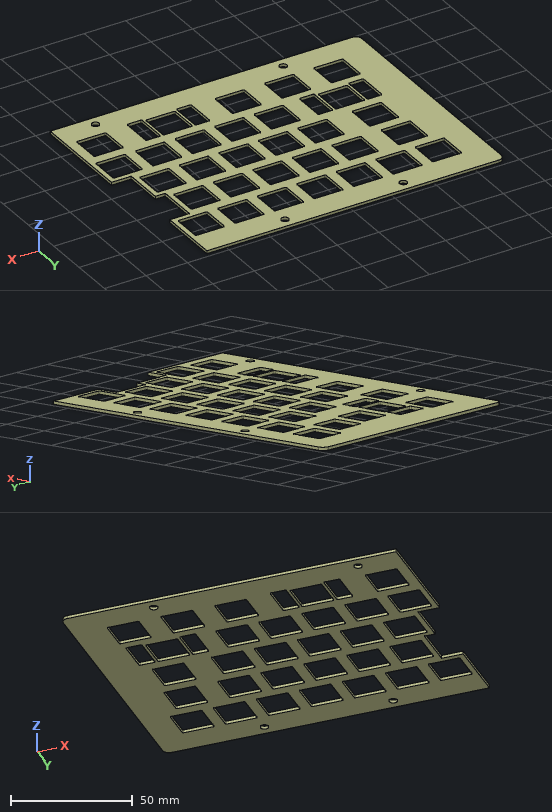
import cadquery as cq

plate_width = 148.5
plate_depth = 116.2
plate_thickness = 1.5
corner_radius = 3.0

key_field_depth = 95.2
switch_size = 14.0
opening_radius = 0.5

rows = [
    [0, 1, 2, 3, 4, 5, 6],
    [0.25, 1.5, 2.5, 3.5, 4.5, 5.5],
    [0.375, 1.75, 2.75, 3.75, 4.75, 5.75],
    [0.625, 2.25, 3.25, 4.25, 5.25, 6.25],
    [0.125, 1.375, 2.625, 4.375, 6.125],
]
row_count = len(rows)
pitch = key_field_depth / row_count

stabilized_keys = [(3, 0), (4, 3)]
slot_width = 7.0
slot_length = 15.0
slot_offset = 11.9

hole_diameter = 3.4
hole_row_y = 53.0
back_hole_xs = [-28.2, 28.8]
front_hole_xs = [-35.0, 55.4]

right_edge = plate_width / 2
back_edge = plate_depth / 2
first_key_x = right_edge - (rows[3][-1] + 0.5) * pitch


def key_x(row, key):
    return first_key_x + rows[row][key] * pitch


def row_y(row):
    return ((row_count - 1) / 2 - row) * pitch


def cell_right(row):
    """Right side of the last key cell in a row."""
    return key_x(row, -1) + pitch / 2


def cell_front(row):
    """Front side of the key cells in a row."""
    return row_y(row) - pitch / 2


def make_plate():
    """Plate with rounded left corners and a right side stepped along the key rows."""
    outline = [
        (-right_edge, -back_edge),
        (right_edge, -back_edge),
        (right_edge, cell_front(2)),
        (cell_right(2), cell_front(2)),
        (cell_right(2), cell_front(1)),
        (cell_right(1), cell_front(1)),
        (cell_right(1), cell_front(0)),
        (cell_right(0), cell_front(0)),
        (cell_right(0), back_edge),
        (-right_edge, back_edge),
    ]
    plate = cq.Workplane("XY").polyline(outline).close().extrude(plate_thickness)
    return plate.edges("|Z and <X").fillet(corner_radius)


def rounded_cutters(centers, width, length):
    cutters = cq.Workplane("XY").pushPoints(centers).rect(width, length).extrude(plate_thickness)
    return cutters.edges("|Z").fillet(opening_radius)


def switch_cutters():
    centers = []
    for row in range(row_count):
        for key in range(len(rows[row])):
            centers.append((key_x(row, key), row_y(row)))
    return rounded_cutters(centers, switch_size, switch_size)


def stabilizer_cutters():
    """Slots level with the back of the switch opening and longer than it at the front."""
    centers = []
    for row, key in stabilized_keys:
        slot_y = row_y(row) + (switch_size - slot_length) / 2
        for side in (-1, 1):
            centers.append((key_x(row, key) + side * slot_offset, slot_y))
    return rounded_cutters(centers, slot_width, slot_length)


def hole_cutters():
    centers = [(x, hole_row_y) for x in back_hole_xs]
    centers += [(x, -hole_row_y) for x in front_hole_xs]
    return cq.Workplane("XY").pushPoints(centers).circle(hole_diameter / 2).extrude(plate_thickness)


result = make_plate().cut(switch_cutters()).cut(stabilizer_cutters()).cut(hole_cutters())